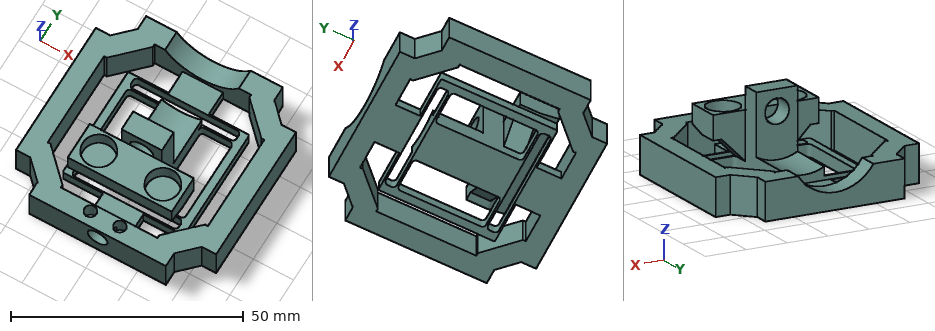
import cadquery as cq

frame_size = 49.8
frame_height = 9.0
frame_wall = 5.0
outer_flat = 34.0
notch_depth = 3.6
window_flat = 24.0
window_step = 0.7

stage_length_x = 30.2
stage_length_y = 28.0
stage_height = 3.05
stage_corner = 0.35
opening_width = 26.25
outer_leaf = 0.4
inner_leaf = 0.45
slot_width = 2.65
opening_radius = 0.9

beam_width = 10.05
post_rear_y = -1.1
post_thickness = 5.0
post_top = 20.0
plate_length = 25.9
plate_depth = 9.35
plate_bottom = 8.9
plate_top = 14.7
plate_front_bottom = 10.15

groove_z = 15.0
groove_radius = 10.95
groove_x = -0.2
post_hole_diameter = 5.9
socket_diameter = 7.9
socket_spacing = 15.95
socket_y = -10.7
socket_depth = 4.05
pin_diameter = 2.9
pin_spacing = 7.3
pin_y = -21.65
pin_depth = 4.5
screw_diameter = 4.9
screw_z = 5.6

half_frame = frame_size / 2
half_window = half_frame - frame_wall
half_stage = stage_length_y / 2
slot_outer_y = half_stage - outer_leaf
beam_end = slot_outer_y - slot_width
pocket_end = beam_end - inner_leaf
post_front_y = post_rear_y - post_thickness
plate_front_y = post_front_y - plate_depth


def block(x_range, y_range, z_range):
    """Box between the given limits along each axis."""
    low, high = zip(x_range, y_range, z_range)
    size = [b - a for a, b in zip(low, high)]
    return cq.Workplane("XY").box(*size, centered=False).translate(low)


def centred_block(width, y_range, z_range):
    """Box centred on X = 0."""
    return block((-width / 2, width / 2), y_range, z_range)


def y_cylinder(diameter, x, z, y_range):
    """Cylinder along Y between the given Y limits."""
    y_low, y_high = y_range
    base = cq.Workplane("XZ", origin=(x, y_low, z))
    return base.circle(diameter / 2).extrude(y_low - y_high)


def notched_prism(half_size, flat, depth):
    """Square prism of frame height whose corners have a step, a diagonal and a step."""
    end = flat / 2
    inner = half_size - depth
    side = [(half_size, -end), (half_size, end), (inner, end), (end, inner)]
    points = []
    for _ in range(4):
        points += side
        side = [(-y, x) for x, y in side]
    return cq.Workplane("XY").polyline(points).close().extrude(frame_height)


def make_frame():
    outside = notched_prism(half_frame, outer_flat, notch_depth)
    window = notched_prism(half_window, window_flat, window_step)
    return outside.cut(window)


def make_stage():
    stage = centred_block(stage_length_x, (-half_stage, half_stage), (0, stage_height))
    stage = stage.edges("|Z").fillet(stage_corner)
    slot = centred_block(opening_width, (beam_end, slot_outer_y), (0, stage_height))
    slot = slot.edges("|Z").fillet(opening_radius)
    pocket = block((beam_width / 2, opening_width / 2), (-pocket_end, pocket_end), (0, stage_height))
    pocket = pocket.edges("|Z").fillet(opening_radius)
    for opening, mirror_plane in ((slot, "XZ"), (pocket, "YZ")):
        stage = stage.cut(opening).cut(opening.mirror(mirror_plane))
    return stage


def make_anchors():
    """Low blocks that tie the end leaf springs to the frame."""
    anchor = centred_block(beam_width, (slot_outer_y, half_window), (0, stage_height))
    return anchor.union(anchor.mirror("XZ"))


def make_beam():
    beam = centred_block(beam_width, (-beam_end, beam_end), (0, plate_bottom))
    post = centred_block(beam_width, (post_front_y, post_rear_y), (0, post_top))
    return beam.union(post)


def make_flare():
    """Support that widens at 45 degrees from the beam up to the holder plate."""
    foot = beam_width / 2
    top = foot + plate_bottom - stage_height
    outline = [(-foot, stage_height), (foot, stage_height), (top, plate_bottom), (-top, plate_bottom)]
    base = cq.Workplane("XZ", origin=(0, post_front_y, 0))
    return base.polyline(outline).close().extrude(beam_end + post_front_y)


def make_plate():
    """Holder plate whose underside slopes up in front of the beam."""
    outline = [
        (post_front_y, plate_bottom),
        (-beam_end, plate_bottom),
        (plate_front_y, plate_front_bottom),
        (plate_front_y, plate_top),
        (post_front_y, plate_top),
    ]
    return cq.Workplane("YZ").polyline(outline).close().extrude(plate_length / 2, both=True)


def drill_pair(body, diameter, spacing, y, top, depth):
    """Two blind vertical holes, one on each side of X = 0."""
    for x in (-spacing / 2, spacing / 2):
        hole = cq.Workplane("XY", origin=(x, y, top)).circle(diameter / 2).extrude(-depth)
        body = body.cut(hole)
    return body


result = make_frame()
for piece in (make_stage(), make_anchors(), make_beam(), make_flare(), make_plate()):
    result = result.union(piece)

result = result.cut(y_cylinder(2 * groove_radius, groove_x, groove_z, (post_rear_y, half_frame)))

post_hole = y_cylinder(post_hole_diameter, 0, groove_z, (post_front_y, post_rear_y))
result = result.cut(post_hole)

result = drill_pair(result, socket_diameter, socket_spacing, socket_y, plate_top, socket_depth)
result = drill_pair(result, pin_diameter, pin_spacing, pin_y, frame_height, pin_depth)

result = result.cut(y_cylinder(screw_diameter, 0, screw_z, (-half_frame, -half_window)))